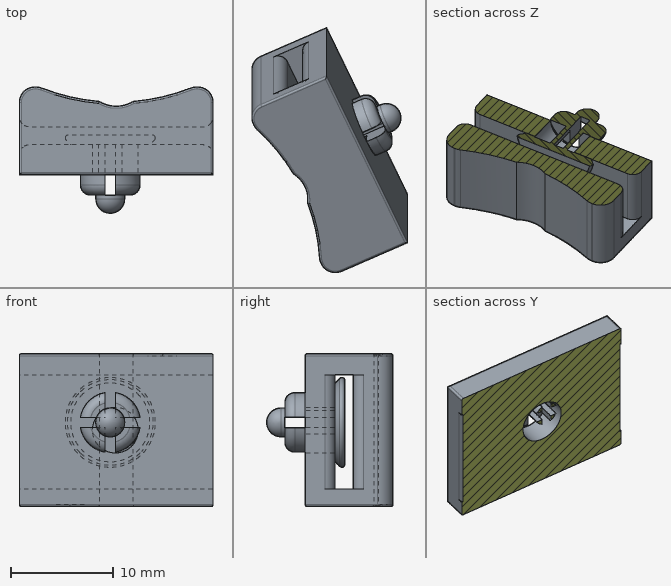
import cadquery as cq
import math

BLOCK_WIDTH = 19.0
BLOCK_DEPTH = 8.6
BLOCK_HEIGHT = 15.0
EDGE_ROUND = 0.2
LOBE_RADIUS = 1.52
LOBE_TOP_FLAT = 0.13
SCOOP_RADIUS = 20.0
DIP_RADIUS = 3.17
DIP_FLOOR_Y = 6.73

SLOT_FRONT_Y = 2.95
SLOT_BACK_Y = 4.7
SLOT_HEIGHT = 11.17
SLOT_Z = -0.17
SLOT_MOUTH_ROUND = 1.0

HOLE_DIAMETER = 4.48
HOLE_X = -0.1

BUTTON_X = -0.59
BUTTON_Z = 0.76
FLANGE_RADIUS = 4.4
FLANGE_THICKNESS = 0.95
FLANGE_CREST_Y = 3.65
FLANGE_BACK_RADIUS = 4.2
BEVEL_END_RADIUS = 4.3
BEVEL_LENGTH = 0.42
STEM_RADIUS = 1.25
HEAD_RADIUS = 2.96
HEAD_LENGTH = 2.0
HEAD_ROUND = 0.99
CROSS_SLOT_WIDTH = 1.0
CROSS_SLOT_DEPTH = SLOT_FRONT_Y
TIP_RADIUS = 1.42
TIP_COLLAR = 0.36


def block_outline():
    """Closed plan outline of the block, symmetric about X = 0."""
    half_width = BLOCK_WIDTH / 2
    lobe_y = BLOCK_DEPTH - LOBE_RADIUS
    outer_lobe_x = half_width - LOBE_RADIUS
    inner_lobe_x = outer_lobe_x - LOBE_TOP_FLAT

    centre_distance = SCOOP_RADIUS + LOBE_RADIUS
    scoop_y = lobe_y + math.sqrt(centre_distance**2 - inner_lobe_x**2)
    tangent_angle = math.asin(inner_lobe_x / centre_distance)

    def on_scoop(angle):
        return SCOOP_RADIUS * math.sin(angle), scoop_y - SCOOP_RADIUS * math.cos(angle)

    dip_y = DIP_FLOOR_Y + DIP_RADIUS
    spacing = scoop_y - dip_y
    dip_cos = (SCOOP_RADIUS**2 + spacing**2 - DIP_RADIUS**2) / (2 * SCOOP_RADIUS * spacing)
    dip_angle = math.acos(dip_cos)

    scoop_end = on_scoop(tangent_angle)
    scoop_middle = on_scoop((tangent_angle + dip_angle) / 2)
    dip_end = on_scoop(dip_angle)
    diagonal = LOBE_RADIUS * math.sqrt(0.5)
    outer_middle = (outer_lobe_x + diagonal, lobe_y + diagonal)
    inner_middle = (
        inner_lobe_x - LOBE_RADIUS * math.sin(tangent_angle / 2),
        lobe_y + LOBE_RADIUS * math.cos(tangent_angle / 2),
    )

    def mirrored(point):
        return -point[0], point[1]

    return (
        cq.Workplane("XY", origin=(0, 0, -BLOCK_HEIGHT / 2))
        .moveTo(-half_width, 0)
        .lineTo(half_width, 0)
        .lineTo(half_width, lobe_y)
        .threePointArc(outer_middle, (outer_lobe_x, BLOCK_DEPTH))
        .lineTo(inner_lobe_x, BLOCK_DEPTH)
        .threePointArc(inner_middle, scoop_end)
        .threePointArc(scoop_middle, dip_end)
        .threePointArc((0, DIP_FLOOR_Y), mirrored(dip_end))
        .threePointArc(mirrored(scoop_middle), mirrored(scoop_end))
        .threePointArc(mirrored(inner_middle), (-inner_lobe_x, BLOCK_DEPTH))
        .lineTo(-outer_lobe_x, BLOCK_DEPTH)
        .threePointArc(mirrored(outer_middle), (-half_width, lobe_y))
        .close()
    )


def strap_slot():
    """Cutter for the slot, flared by a quarter round at both mouths."""
    half_width = BLOCK_WIDTH / 2
    throat_x = half_width - SLOT_MOUTH_ROUND
    front_mouth_y = SLOT_FRONT_Y - SLOT_MOUTH_ROUND
    back_mouth_y = SLOT_BACK_Y + SLOT_MOUTH_ROUND
    return (
        cq.Workplane("XY", origin=(0, 0, SLOT_Z - SLOT_HEIGHT / 2))
        .moveTo(-throat_x, SLOT_FRONT_Y)
        .lineTo(throat_x, SLOT_FRONT_Y)
        .radiusArc((half_width, front_mouth_y), SLOT_MOUTH_ROUND)
        .lineTo(half_width, back_mouth_y)
        .radiusArc((throat_x, SLOT_BACK_Y), SLOT_MOUTH_ROUND)
        .lineTo(-throat_x, SLOT_BACK_Y)
        .radiusArc((-half_width, back_mouth_y), SLOT_MOUTH_ROUND)
        .lineTo(-half_width, front_mouth_y)
        .radiusArc((-throat_x, SLOT_FRONT_Y), SLOT_MOUTH_ROUND)
        .close()
        .extrude(SLOT_HEIGHT)
    )


def cylinder_along_y(radius, start_y, end_y, x, z):
    """Cylinder with its axis along +Y."""
    base = cq.Vector(x, start_y, z)
    return cq.Workplane(cq.Solid.makeCylinder(radius, end_y - start_y, base, cq.Vector(0, 1, 0)))


def make_block():
    block = block_outline().extrude(BLOCK_HEIGHT)
    block = block.faces("<Z or >Z").edges().fillet(EDGE_ROUND)
    hole = cylinder_along_y(HOLE_DIAMETER / 2, 0, SLOT_FRONT_Y, HOLE_X, 0)
    return block.cut(strap_slot()).cut(hole)


def revolved_about_button_axis(profile):
    """Turn an XY profile, drawn with the button axis on X = 0, about that axis."""
    turned = profile.close().revolve(360, (0, 0, 0), (0, 1, 0))
    return turned.translate((BUTTON_X, 0, BUTTON_Z))


def make_flange():
    """Retaining disc inside the slot, with a rounded rim and a bevel towards the front wall."""
    back_y = SLOT_FRONT_Y + FLANGE_THICKNESS
    bevel_end = (BEVEL_END_RADIUS, SLOT_FRONT_Y + BEVEL_LENGTH)
    profile = (
        cq.Workplane("XY")
        .moveTo(0, SLOT_FRONT_Y)
        .lineTo(BEVEL_END_RADIUS - BEVEL_LENGTH, SLOT_FRONT_Y)
        .lineTo(*bevel_end)
        .threePointArc((FLANGE_RADIUS, FLANGE_CREST_Y), (FLANGE_BACK_RADIUS, back_y))
        .lineTo(0, back_y)
    )
    return revolved_about_button_axis(profile)


def make_split_head():
    """Rounded snap head, split into four by a cross slot."""
    head = cylinder_along_y(HEAD_RADIUS, -HEAD_LENGTH, 0, BUTTON_X, BUTTON_Z)
    head = head.faces("<Y").edges().fillet(HEAD_ROUND)
    stem = cylinder_along_y(STEM_RADIUS, 0, SLOT_FRONT_Y, BUTTON_X, BUTTON_Z)
    cut_length = HEAD_LENGTH + CROSS_SLOT_DEPTH
    cut_y = (CROSS_SLOT_DEPTH - HEAD_LENGTH) / 2
    arm = cq.Workplane("XY").box(2 * HEAD_RADIUS, cut_length, CROSS_SLOT_WIDTH)
    head = head.union(stem)
    for angle in (0, 90):
        slot = arm.rotate((0, 0, 0), (0, 1, 0), angle).translate((BUTTON_X, cut_y, BUTTON_Z))
        head = head.cut(slot)
    return head


def make_tip():
    """Domed tip bridging the four quarters of the head."""
    dome_y = -HEAD_LENGTH - TIP_COLLAR
    profile = (
        cq.Workplane("XY")
        .moveTo(0, -HEAD_LENGTH)
        .lineTo(TIP_RADIUS, -HEAD_LENGTH)
        .lineTo(TIP_RADIUS, dome_y)
        .radiusArc((0, dome_y - TIP_RADIUS), TIP_RADIUS)
    )
    return revolved_about_button_axis(profile)


def make_button():
    return make_flange().union(make_split_head()).union(make_tip())


block = make_block()
button = make_button()
result = cq.Compound.makeCompound([block.solids().val(), button.solids().val()])